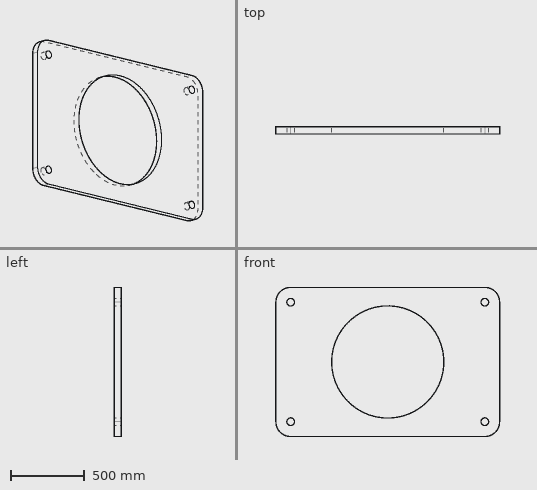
import cadquery as cq

plate_length = 1524.0
plate_thickness = 50.8
plate_height = 1016.0
corner_radius = 101.6
opening_diameter = 762.0
bolt_hole_diameter = 50.8

bolt_spacing_x = plate_length - 2 * corner_radius
bolt_spacing_z = plate_height - 2 * corner_radius


def make_plate():
    """Upright rectangular plate with rounded corners, centred on the origin."""
    plate = cq.Workplane("XY").box(plate_length, plate_thickness, plate_height)
    return plate.edges("|Y").fillet(corner_radius)


def cut_opening(plate):
    """Large round opening through the middle of the plate."""
    return plate.faces("<Y").workplane(centerOption="CenterOfBoundBox").hole(opening_diameter)


def cut_bolt_holes(plate):
    """Four through holes, one at the centre of each corner radius."""
    return (
        plate.faces("<Y")
        .workplane(centerOption="CenterOfBoundBox")
        .rect(bolt_spacing_x, bolt_spacing_z, forConstruction=True)
        .vertices()
        .hole(bolt_hole_diameter)
    )


result = cut_bolt_holes(cut_opening(make_plate()))